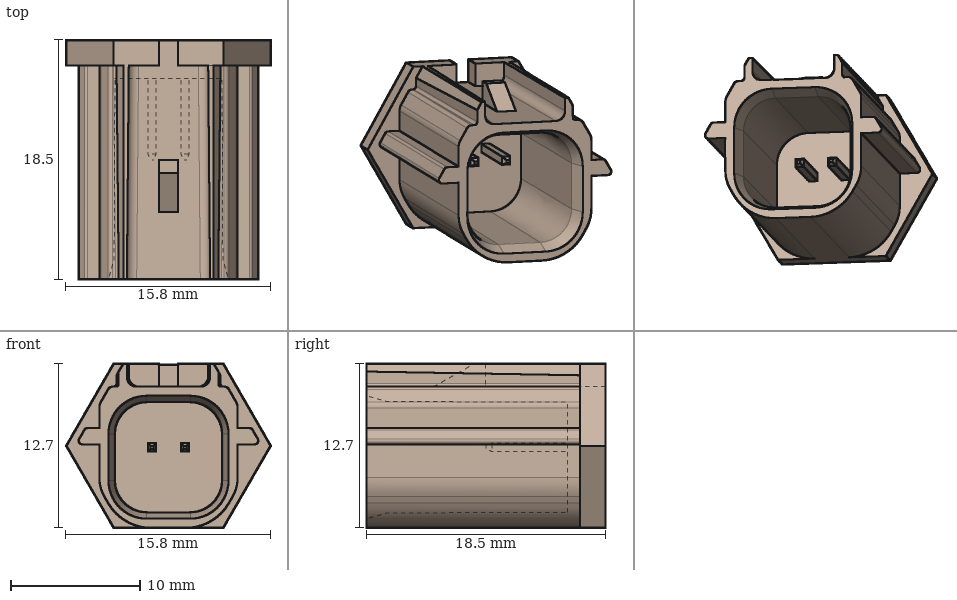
import cadquery as cq
import math

length = 18.5
height = 12.7
half_height = height / 2
slope = math.tan(math.radians(60))

flange_thickness = 1.98
flange_half_width = 7.909
flange_front = length - flange_thickness
notch_width = 1.5

shell_half_width = 5.35
flank_start_z = -3.25
flank_upper_radius = 2.96
flank_lower_radius = 3.81
deck_z = 4.57
shoulder_start_z = 3.18
shoulder_lower_radius = 0.92
shoulder_upper_radius = 0.4

rail_top_half_width = 3.5
rail_inner_mouth = 3.22
rail_inner_flange = 3.07
rail_outer_mouth = 3.85
rail_outer_flange = 4.01
rail_inner_radius = 0.75
rail_outer_radius = 0.24

wing_top_z = 1.37
wing_bottom_z = 0.11
wing_top_x = 6.42
wing_edge_radius = 0.28

cavity_center_z = -0.89
cavity_flat_half_width = 1.68
mouth_half_width = 4.65
lip_half_width = 4.2
floor_half_width = 4.15
cavity_extra_height = 0.11
lip_depth = 1.6
cavity_depth = 15.54

latch_back = 9.23
latch_crest = 8.23
latch_front = 5.2
latch_top_z = 6.27

pin_size = 0.65
pin_tip_size = 0.24
pin_spacing = 2.55
pin_z = -0.13
pin_tip_y = 9.25
pin_taper = 0.46

joint_overlap = 0.18


def section_plane(y):
    """XZ plane at the given Y whose extrusions run toward +Y."""
    return cq.Workplane(cq.Plane(origin=(0, y, 0), xDir=(1, 0, 0), normal=(0, -1, 0)))


def extrude_back(outline, distance):
    return outline.extrude(-distance)


def make_flange():
    flat_half = flange_half_width - half_height / slope
    corners = [
        (flange_half_width, 0),
        (flat_half, half_height),
        (-flat_half, half_height),
        (-flange_half_width, 0),
        (-flat_half, -half_height),
        (flat_half, -half_height),
    ]
    flange = extrude_back(section_plane(flange_front).polyline(corners).close(), flange_thickness)
    notch_height = half_height - deck_z
    notch = (
        cq.Workplane("XY")
        .box(notch_width, flange_thickness, notch_height, centered=(True, False, False))
        .translate((0, flange_front, deck_z))
    )
    return flange.cut(notch)


def make_shell():
    shoulder_top_x = shell_half_width - (deck_z - shoulder_start_z) / slope
    flank_bottom_x = shell_half_width - (half_height + flank_start_z) / slope
    corners = [
        (flank_bottom_x, -half_height),
        (shell_half_width, flank_start_z),
        (shell_half_width, shoulder_start_z),
        (shoulder_top_x, deck_z),
        (-shoulder_top_x, deck_z),
        (-shell_half_width, shoulder_start_z),
        (-shell_half_width, flank_start_z),
        (-flank_bottom_x, -half_height),
    ]
    shell = extrude_back(section_plane(0).polyline(corners).close(), flange_front)

    def round_edges(body, x, z, radius):
        for side in (-1, 1):
            selector = cq.selectors.NearestToPointSelector((side * x, flange_front / 2, z))
            body = body.edges("|Y").edges(selector).fillet(radius)
        return body

    shell = round_edges(shell, shell_half_width, flank_start_z, flank_upper_radius)
    shell = round_edges(shell, flank_bottom_x, -half_height, flank_lower_radius)
    shell = round_edges(shell, shell_half_width, shoulder_start_z, shoulder_lower_radius)
    return round_edges(shell, shoulder_top_x, deck_z, shoulder_upper_radius)


def make_rail():
    """Right-hand rail with concave fillets blending both sides into the deck."""
    root_z = deck_z - joint_overlap

    def add_section(work, inner_x, outer_x):
        bevel_z = half_height - (outer_x - rail_top_half_width) * slope
        inner_foot = inner_x - rail_inner_radius
        outer_foot = outer_x + rail_outer_radius
        diagonal = 1 - math.sqrt(0.5)
        return (
            work.moveTo(inner_foot, root_z)
            .lineTo(inner_foot, deck_z)
            .threePointArc(
                (inner_x - diagonal * rail_inner_radius, deck_z + diagonal * rail_inner_radius),
                (inner_x, deck_z + rail_inner_radius),
            )
            .lineTo(inner_x, half_height)
            .lineTo(rail_top_half_width, half_height)
            .lineTo(outer_x, bevel_z)
            .lineTo(outer_x, deck_z + rail_outer_radius)
            .threePointArc(
                (outer_x + diagonal * rail_outer_radius, deck_z + diagonal * rail_outer_radius),
                (outer_foot, deck_z),
            )
            .lineTo(outer_foot, root_z)
            .close()
        )

    rail = add_section(section_plane(0), rail_inner_mouth, rail_outer_mouth)
    rail = rail.workplane(offset=-flange_front)
    return add_section(rail, rail_inner_flange, rail_outer_flange).loft(ruled=True)


def make_wing():
    """Right-hand wing with a slanted tip and rounded outer edges."""
    tip_bottom_x = wing_top_x + (wing_top_z - wing_bottom_z) / slope
    root_x = shell_half_width - joint_overlap
    corners = [
        (root_x, wing_bottom_z),
        (tip_bottom_x, wing_bottom_z),
        (wing_top_x, wing_top_z),
        (root_x, wing_top_z),
    ]
    wing = extrude_back(section_plane(0).polyline(corners).close(), flange_front)
    for x, z in ((tip_bottom_x, wing_bottom_z), (wing_top_x, wing_top_z)):
        edge = cq.selectors.NearestToPointSelector((x, flange_front / 2, z))
        wing = wing.edges("|Y").edges(edge).fillet(wing_edge_radius)
    return wing


def cavity_segment(start_y, start_half_width, end_y, end_half_width):
    """Tapered rounded-rectangle plug between two depths."""

    def rounded_section(half_width):
        sketch_height = 2 * (half_width + cavity_extra_height)
        radius = half_width - cavity_flat_half_width
        return cq.Sketch().rect(2 * half_width, sketch_height).vertices().fillet(radius)

    start = cq.Location(cq.Vector(0, cavity_center_z, 0))
    end = cq.Location(cq.Vector(0, cavity_center_z, start_y - end_y))
    return section_plane(start_y).placeSketch(
        rounded_section(start_half_width).moved(start),
        rounded_section(end_half_width).moved(end),
    ).loft(ruled=True)


def make_latch():
    profile = [
        (latch_front, deck_z),
        (latch_crest, latch_top_z),
        (latch_back, latch_top_z),
        (latch_back, deck_z - joint_overlap),
        (latch_front, deck_z - joint_overlap),
    ]
    return cq.Workplane("YZ").polyline(profile).close().extrude(notch_width / 2, both=True)


def make_pin(x):
    shoulder_y = pin_tip_y + pin_taper
    shank_length = cavity_depth + joint_overlap - shoulder_y
    shank = extrude_back(section_plane(shoulder_y).center(x, pin_z).rect(pin_size, pin_size), shank_length)
    tip = (
        section_plane(pin_tip_y)
        .center(x, pin_z)
        .rect(pin_tip_size, pin_tip_size)
        .workplane(offset=-pin_taper)
        .rect(pin_size, pin_size)
        .loft(ruled=True)
    )
    return shank.union(tip)


result = make_flange().union(make_shell())
for side_feature in (make_rail(), make_wing()):
    result = result.union(side_feature).union(side_feature.mirror("YZ"))
result = result.union(make_latch())
result = result.cut(cavity_segment(0, mouth_half_width, lip_depth, lip_half_width))
result = result.cut(cavity_segment(lip_depth, lip_half_width, cavity_depth, floor_half_width))
for pin_side in (-1, 1):
    result = result.union(make_pin(pin_side * pin_spacing / 2))